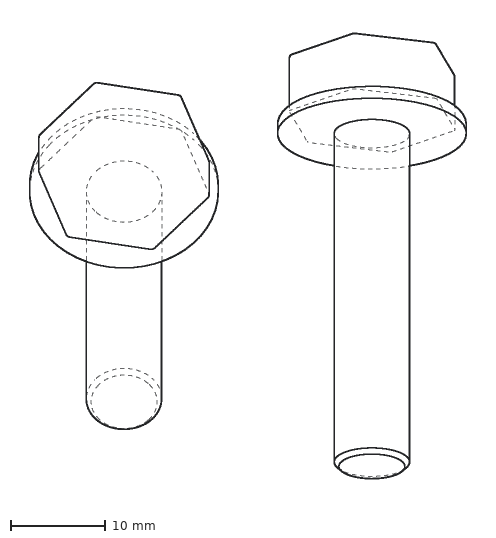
import cadquery as cq
import math

total_length = 46.0
head_height = 8.0
flange_diameter = 20.0
flange_thickness = 1.5
shank_diameter = 8.0
across_flats = 16.0
edge_size = 0.5

shank_length = total_length - head_height
hex_height = head_height - flange_thickness
across_corners = across_flats / math.cos(math.radians(30))


def make_shank():
    shank = cq.Workplane("XY").circle(shank_diameter / 2).extrude(shank_length)
    return shank.faces("<Z").edges().chamfer(edge_size)


def make_flange():
    flange = cq.Workplane("XY").workplane(offset=shank_length)
    flange = flange.circle(flange_diameter / 2).extrude(flange_thickness)
    return flange.faces(">Z").edges().fillet(edge_size)


def make_hexagon():
    """Hexagon with two corners on the X axis, rounded on its sides and top."""
    hexagon = cq.Workplane("XY").workplane(offset=shank_length + flange_thickness)
    hexagon = hexagon.polygon(6, across_corners).extrude(hex_height)
    return hexagon.edges("|Z or >Z").fillet(edge_size)


result = make_shank().union(make_flange()).union(make_hexagon())